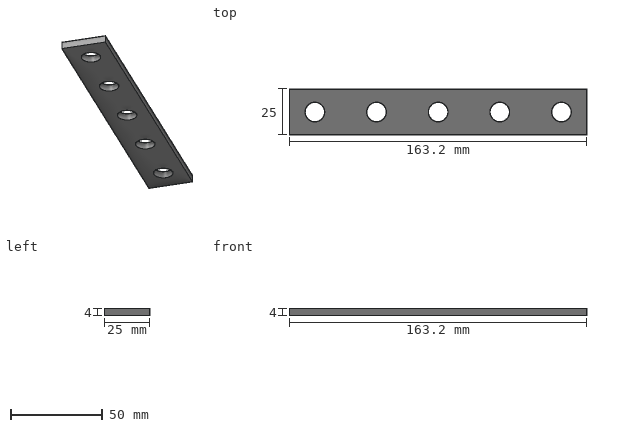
import cadquery as cq

bar_width = 25.0
bar_thickness = 4.0

hole_count = 5
hole_pitch = 33.8
hole_diameter = 10.6
end_margin = 14.0

bar_length = (hole_count - 1) * hole_pitch + 2 * end_margin


def make_bar():
    return cq.Workplane("XY").box(
        bar_length, bar_width, bar_thickness, centered=(True, True, False)
    )


def drill_hole_row(bar):
    return (
        bar.faces(">Z")
        .workplane()
        .rarray(hole_pitch, bar_width, hole_count, 1)
        .hole(hole_diameter)
    )


result = drill_hole_row(make_bar())